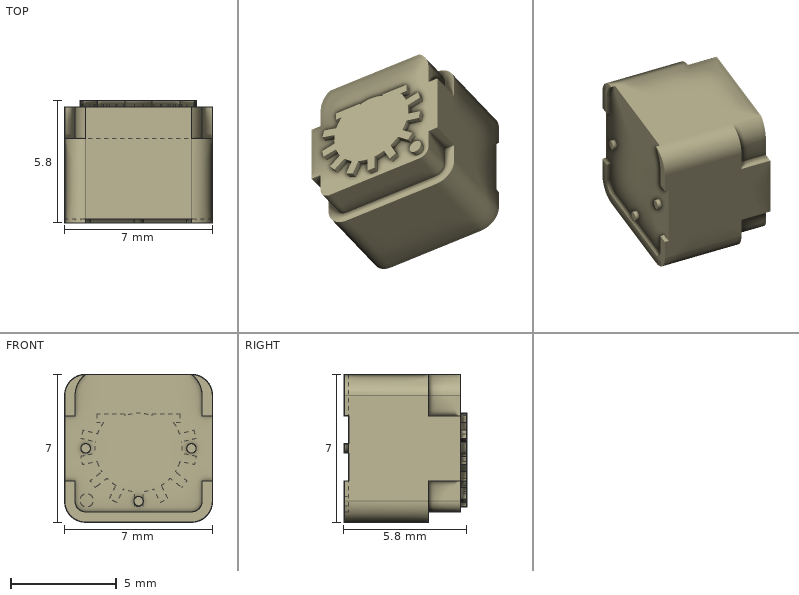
import cadquery as cq

width = 7.0
corner_radius = 1.0
wall = 0.5
core_top_radius = 1.25
side_band_height = 3.065
front_recess = 0.2
wall_depth = 4.0
housing_depth = 5.5
pin_radius = 0.225
pin_offset = 2.5
dot_radius = 0.315
dot_offset = 2.46
plate_thickness = 0.3

hub_radius = 1.665
root_radius = 2.06
tip_radius = 2.75
tooth_width = 0.4
tooth_pitch = 26.0
first_tooth_angle = 14.0
tooth_count = 9
bar_half_length = 1.96
bar_top = 1.62
bar_bottom = 1.23
notch_half_width = 0.63

half_width = width / 2
core_half_width = half_width - wall
corner_start = half_width - corner_radius
core_bottom_radius = corner_radius - wall


def plane_at(y):
    """XZ workplane at depth y; a negative extrusion runs towards +Y."""
    return cq.Workplane("XZ", origin=(0, y, 0))


def make_core_block(y_start, y_end):
    """Core section, with its full-width side band, between two depths."""
    length = y_end - y_start
    core = (
        plane_at(y_start)
        .moveTo(-corner_start, half_width)
        .lineTo(corner_start, half_width)
        .radiusArc((core_half_width, corner_start), core_top_radius)
        .lineTo(core_half_width, -corner_start)
        .radiusArc((corner_start, -core_half_width), core_bottom_radius)
        .lineTo(-corner_start, -core_half_width)
        .radiusArc((-core_half_width, -corner_start), core_bottom_radius)
        .lineTo(-core_half_width, corner_start)
        .radiusArc((-corner_start, half_width), core_top_radius)
        .close()
        .extrude(-length)
    )
    side_band = plane_at(y_start).rect(width, side_band_height).extrude(-length)
    return core.union(side_band)


def make_housing():
    """Rounded square block with a recessed front, cut-back rear corners and a dot on the back."""
    block = plane_at(0).rect(width, width).extrude(-wall_depth).edges("|Y").fillet(corner_radius)
    recessed = block.cut(make_core_block(0, front_recess))
    core = make_core_block(front_recess, housing_depth)
    back = plane_at(housing_depth)
    dot = back.center(-dot_offset, -dot_offset).circle(dot_radius).extrude(-plate_thickness)
    return recessed.union(core).union(dot)


def make_pin(x, z):
    """Round pin standing on the recessed front face, flush with the rim."""
    return plane_at(0).center(x, z).circle(pin_radius).extrude(-front_recess)


def make_tooth(angle):
    """Straight radial tooth that starts inside the root circle."""
    return (
        plane_at(housing_depth)
        .transformed(rotate=(0, 0, angle))
        .center(tip_radius / 2, 0)
        .rect(tip_radius, tooth_width)
        .extrude(-plate_thickness)
    )


def make_back_plate():
    """Toothed disc with a flat top, a bar along the flat and a hub showing in the bar's notch."""
    plane = plane_at(housing_depth)
    plate = plane.circle(root_radius).extrude(-plate_thickness)
    above_bar = plane.center(0, bar_top + root_radius / 2).rect(width, root_radius)
    plate = plate.cut(above_bar.extrude(-plate_thickness))

    bar_height = bar_top - bar_bottom
    bar = plane.center(0, bar_bottom + bar_height / 2).rect(2 * bar_half_length, bar_height)
    plate = plate.union(bar.extrude(-plate_thickness))

    notch = plane.center(0, half_width / 2).rect(2 * notch_half_width, half_width)
    plate = plate.cut(notch.extrude(-plate_thickness))
    hub = plane.circle(hub_radius).extrude(-plate_thickness)
    plate = plate.union(hub)

    for index in range(tooth_count):
        plate = plate.union(make_tooth(first_tooth_angle - index * tooth_pitch))
    return plate


housing = make_housing()
pin_centers = [(-pin_offset, 0), (pin_offset, 0), (0, -pin_offset)]
pins = [make_pin(x, z) for x, z in pin_centers]
back_plate = make_back_plate()

result = cq.Compound.makeCompound(
    [housing.val(), *[pin.val() for pin in pins], back_plate.val()]
)